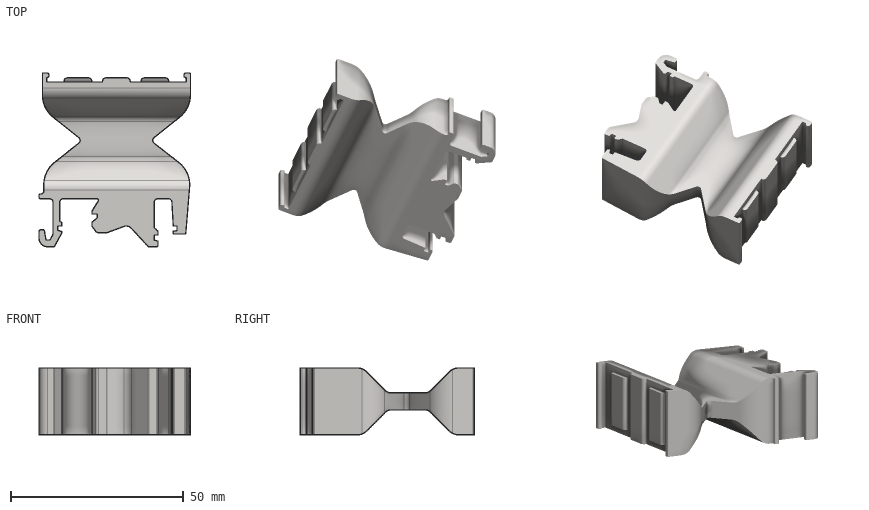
import cadquery as cq
import math

HEIGHT = 19.5
LENGTH = 50.5

WEB_THICKNESS = 5.05
WEB_SLOPE = 45.0
WEB_FRONT_Y = 25.35
WEB_BACK_Y = 37.15
WEB_INNER_RADIUS = 2.0
WEB_OUTER_RADIUS = 4.05
NECK_Y = 30.9
NECK_HALF_WIDTH = 9.95
NECK_RADIUS = 1.0
SHOULDER_RADIUS = 8.35
FRONT_SHOULDER_Y = 22.0
BACK_SHOULDER_Y = 40.15

BACK_HALF_WIDTH = 21.5
BACK_FACE_Y = 47.85
HOOK_WALL = 1.3
HOOK_LIP = 0.65
HOOK_LIP_Y = LENGTH - 1.15
HOOK_THROAT_Y = LENGTH - 1.45
HOOK_OUTER_RADIUS = 0.35
HOOK_LIP_RADIUS = 0.65
HOOK_THROAT_RADIUS = 0.4
PAD_WIDTH = 8.1
PAD_PITCH = 11.15
PAD_DEPTH = 1.2
PAD_RADIUS = 1.0
OUTER_PAD_INSET = 2.0

BEAM_FRONT_Y = 13.95
BEAM_LEFT_X = -21.1
BEAM_RIGHT_X = 21.3
BEAM_RIGHT_Y = 17.9
FLANGE_LEFT_X = -22.45
FLANGE_BACK_Y = 15.4
INNER_CORNER_RADIUS = 0.95


def unit_vector(start, end):
    """Unit direction from one outline point to another."""
    distance = math.dist(start[:2], end[:2])
    return (end[0] - start[0]) / distance, (end[1] - start[1]) / distance


def rounded_outline(points):
    """Closed wire at Z = -HEIGHT / 2 through (x, y) corners, rounded where a radius follows."""
    corners = []
    for index, corner in enumerate(points):
        x, y = corner[:2]
        if len(corner) == 2:
            corners.append([(x, y)])
            continue
        radius = corner[2]
        back = unit_vector(corner, points[index - 1])
        ahead = unit_vector(corner, points[(index + 1) % len(points)])
        half_angle = math.acos(back[0] * ahead[0] + back[1] * ahead[1]) / 2
        tangent = radius / math.tan(half_angle)
        bulge = radius / math.sin(half_angle) - radius
        bisector = unit_vector((0, 0), (back[0] + ahead[0], back[1] + ahead[1]))
        corners.append([
            (x + tangent * back[0], y + tangent * back[1]),
            (x + bulge * bisector[0], y + bulge * bisector[1]),
            (x + tangent * ahead[0], y + tangent * ahead[1]),
        ])
    wire = cq.Workplane("XY").workplane(offset=-HEIGHT / 2).moveTo(*corners[0][-1])
    for corner in corners[1:] + corners[:1]:
        wire = wire.lineTo(*corner[0])
        if len(corner) == 3:
            wire = wire.threePointArc(corner[1], corner[2])
    return wire.close()


def hook_foot():
    """J-shaped foot on the left, from its outer root round to its inner root."""
    leg_outer_x = -18.45
    leg_inner_x = -16.4
    ledge_x = -15.85
    notch_x = -16.95
    notch_top_y = 6.05
    hook_tip_y = 5.0
    hook_floor_y = 2.0
    return [
        (leg_outer_x, BEAM_FRONT_Y, INNER_CORNER_RADIUS),
        (leg_outer_x, 3.65, 0.4),
        (-19.3, hook_floor_y, 0.2),
        (-20.4, hook_floor_y, 0.2),
        (-20.9, hook_tip_y, 0.4),
        (FLANGE_LEFT_X, hook_tip_y, 0.5),
        (FLANGE_LEFT_X, 0, 2.5),
        (-18.05, 0, 0.4),
        (ledge_x, 3.95, 0.15),
        (ledge_x, 4.5),
        (notch_x, 4.85),
        (notch_x, notch_top_y),
        (ledge_x, notch_top_y),
        (ledge_x, 7.1),
        (leg_inner_x, 7.4),
        (leg_inner_x, BEAM_FRONT_Y, INNER_CORNER_RADIUS),
    ]


def center_foot():
    """Broad middle foot with a notch in each side and a hollow underneath."""
    left_x = -7.1
    left_notch_x = -5.6
    left_notch_top_y = 9.5
    left_bottom_y = 4.1
    toe_x = 12.1
    right_x = 11.0
    right_notch_top_y = 3.45
    return [
        (-4.9, BEAM_FRONT_Y, 0.4),
        (left_x, 10.35, 0.25),
        (left_x, left_notch_top_y),
        (left_notch_x, left_notch_top_y),
        (left_notch_x, 8.45, 0.25),
        (left_x, 7.15, 0.25),
        (left_x, 6.0, 1.0),
        (-5.7, left_bottom_y, 1.0),
        (-2.8, left_bottom_y, 0.5),
        (3.45, 6.35, 1.95),
        (9.3, 0, 0.5),
        (toe_x, 0, 0.5),
        (toe_x, 1.65),
        (right_x, 2.0),
        (right_x, right_notch_top_y),
        (toe_x, right_notch_top_y),
        (toe_x, 4.5),
        (right_x, 5.6),
        (right_x, BEAM_FRONT_Y, INNER_CORNER_RADIUS),
    ]


def tapered_foot():
    """Tapered right foot with a notch in its inner side."""
    notch_x = 17.55
    notch_top_y = 6.05
    lip_x = 16.4
    bottom_y = 3.7
    return [
        (16.0, BEAM_FRONT_Y, INNER_CORNER_RADIUS),
        (16.45, notch_top_y),
        (notch_x, notch_top_y),
        (notch_x, 4.75, 0.2),
        (lip_x, 4.55, 0.15),
        (lip_x, bottom_y, 0.5),
        (20.15, bottom_y, 0.45),
    ]


def back_hook(side):
    """Hook on one back corner, from its outer edge to its inner root."""
    wall_x = BACK_HALF_WIDTH - HOOK_WALL
    lip_x = wall_x - HOOK_LIP
    return [
        (side * BACK_HALF_WIDTH, LENGTH, HOOK_OUTER_RADIUS),
        (side * lip_x, LENGTH, HOOK_LIP_RADIUS),
        (side * lip_x, HOOK_LIP_Y, HOOK_THROAT_RADIUS),
        (side * wall_x, HOOK_THROAT_Y),
        (side * wall_x, BACK_FACE_Y),
    ]


def plan_body():
    """Full-height block with the complete plan outline."""
    flange_root_radius = 0.75
    points = [
        (FLANGE_LEFT_X, FLANGE_BACK_Y, 0.35),
        (FLANGE_LEFT_X, BEAM_FRONT_Y, 0.5),
        *hook_foot(),
        *center_foot(),
        *tapered_foot(),
        (BEAM_RIGHT_X, BEAM_RIGHT_Y),
        (BEAM_RIGHT_X, FRONT_SHOULDER_Y, SHOULDER_RADIUS),
        (NECK_HALF_WIDTH, NECK_Y, NECK_RADIUS),
        (BACK_HALF_WIDTH, BACK_SHOULDER_Y, SHOULDER_RADIUS),
        *back_hook(1),
        *reversed(back_hook(-1)),
        (-BACK_HALF_WIDTH, BACK_SHOULDER_Y, SHOULDER_RADIUS),
        (-NECK_HALF_WIDTH, NECK_Y, NECK_RADIUS),
        (BEAM_LEFT_X, FRONT_SHOULDER_Y, SHOULDER_RADIUS),
        (BEAM_LEFT_X, FLANGE_BACK_Y, flange_root_radius),
    ]
    return rounded_outline(points).extrude(HEIGHT)


def waist_relief():
    """Cutter above the web, with rounded floor corners and rounded upper edges."""
    half_web = WEB_THICKNESS / 2
    half_height = HEIGHT / 2
    rise = half_height - half_web
    run = rise / math.tan(math.radians(WEB_SLOPE))
    front_edge_y = WEB_FRONT_Y - run
    back_edge_y = WEB_BACK_Y + run
    overshoot = WEB_OUTER_RADIUS
    width = 2 * (BACK_HALF_WIDTH + overshoot)
    points = [
        (front_edge_y - overshoot, half_height),
        (front_edge_y, half_height, WEB_OUTER_RADIUS),
        (WEB_FRONT_Y, half_web, WEB_INNER_RADIUS),
        (WEB_BACK_Y, half_web, WEB_INNER_RADIUS),
        (back_edge_y, half_height, WEB_OUTER_RADIUS),
        (back_edge_y + overshoot, half_height),
        (back_edge_y + overshoot, half_height + overshoot),
        (front_edge_y - overshoot, half_height + overshoot),
    ]
    cutter = rounded_outline(points).extrude(width).translate((0, 0, HEIGHT / 2 - width / 2))
    return cutter.rotate((0, 0, 0), (1, 1, 1), 120)


def back_pad(center_x, height):
    """Pad standing on the back face, rounded along its two outer edges."""
    root_y = BACK_FACE_Y - PAD_DEPTH
    tip_y = BACK_FACE_Y + PAD_DEPTH
    return (
        cq.Workplane("XY")
        .box(PAD_WIDTH, tip_y - root_y, height)
        .edges("|Z and >Y")
        .fillet(PAD_RADIUS)
        .translate((center_x, BACK_FACE_Y, 0))
    )


relief = waist_relief()
result = plan_body().cut(relief).cut(relief.mirror("XY"))
result = result.union(back_pad(0, HEIGHT))
for pad_side in (-1, 1):
    result = result.union(back_pad(pad_side * PAD_PITCH, HEIGHT - 2 * OUTER_PAD_INSET))